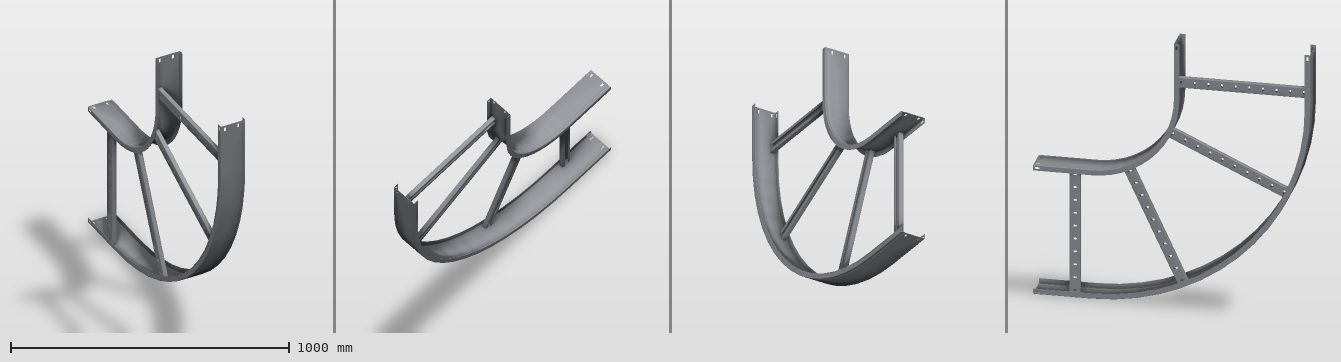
import cadquery as cq
import math

OVERALL = 1017.0
TRAY_DEPTH = 100.0
TRAY_WIDTH = 500.0
ARM_LENGTH = 216.0
SHEET = 1.5
OUTER_RADIUS = OVERALL - ARM_LENGTH
INNER_RADIUS = OUTER_RADIUS - TRAY_WIDTH

FLANGE_WIDTH = 20.0
RAIL_BEND = 2.0
GROOVE_DEPTH = 1.5
GROOVE_FLANK = 4.0
GROOVE_FLOOR = 4.0
GROOVE_FROM_BACK = 4.0

SLOT_LENGTH = 15.0
SLOT_WIDTH = 7.0
RAIL_SLOT_FROM_END = 15.0
FRONT_WEB_SLOT_Y = 17.0
BACK_WEB_SLOT_Y = TRAY_DEPTH - 28.0
FLANGE_SLOT_INSET = FLANGE_WIDTH / 2

RUNG_WIDTH = 40.0
RUNG_DEPTH = 17.0
RUNG_FRONT_Y = 8.0
RUNG_LIP = 12.0
RUNG_BEND = 2.0
RUNG_FROM_ARM_END = 152.0
RUNG_SLOT_COUNT = 10
RUNG_SLOT_PITCH = TRAY_WIDTH / RUNG_SLOT_COUNT
CURVE_RUNG_ANGLE = 25.0

CUT_DEPTH = 10.0
TRIM_ALLOWANCE = 10.0


def cross_plane(origin, normal):
    """Workplane across an arm: local x is +Y and local y points to the bend axis."""
    return cq.Workplane(cq.Plane(origin=origin, xDir=(0, 1, 0), normal=normal))


def follow_bend(draw_section, radius):
    """Carry a section along arm, quarter bend and arm at a given distance from the bend axis."""
    first_arm = draw_section(cross_plane((-ARM_LENGTH, 0, -radius), (1, 0, 0))).extrude(ARM_LENGTH)
    bend = draw_section(cross_plane((0, 0, -radius), (1, 0, 0))).revolve(90, (10, radius), (0, radius))
    second_arm = draw_section(cross_plane((radius, 0, 0), (0, 0, 1))).extrude(ARM_LENGTH)
    return first_arm.union(bend, clean=False).union(second_arm, clean=False)


def rail_slot_cutter(center, long_axis, through_axis):
    """Square-ended cutter through the sheet of a rail."""
    plane = cq.Plane(origin=center, xDir=long_axis, normal=through_axis)
    return cq.Workplane(plane).rect(SLOT_LENGTH, SLOT_WIDTH).extrude(CUT_DEPTH / 2, both=True)


def rail_section(workplane, flange_side):
    """Channel section with its web on local y = 0.

    flange_side is +1 for flanges that point to the bend axis and -1 for flanges that point away.
    """

    def at(y, inset):
        return (y, flange_side * inset)

    groove_end = TRAY_DEPTH - GROOVE_FROM_BACK
    floor_end = groove_end - GROOVE_FLANK
    floor_start = floor_end - GROOVE_FLOOR
    groove_start = floor_start - GROOVE_FLANK
    inner_bend = RAIL_BEND - SHEET
    outer_turn = -flange_side * RAIL_BEND
    inner_turn = flange_side * inner_bend
    return (
        workplane
        .moveTo(*at(0, FLANGE_WIDTH))
        .lineTo(*at(0, RAIL_BEND))
        .radiusArc(at(RAIL_BEND, 0), outer_turn)
        .lineTo(*at(groove_start, 0))
        .lineTo(*at(floor_start, GROOVE_DEPTH))
        .lineTo(*at(floor_end, GROOVE_DEPTH))
        .lineTo(*at(groove_end, 0))
        .lineTo(*at(TRAY_DEPTH - RAIL_BEND, 0))
        .radiusArc(at(TRAY_DEPTH, RAIL_BEND), outer_turn)
        .lineTo(*at(TRAY_DEPTH, FLANGE_WIDTH))
        .lineTo(*at(TRAY_DEPTH - SHEET, FLANGE_WIDTH))
        .lineTo(*at(TRAY_DEPTH - SHEET, RAIL_BEND))
        .radiusArc(at(TRAY_DEPTH - RAIL_BEND, SHEET), inner_turn)
        .lineTo(*at(groove_end, SHEET))
        .lineTo(*at(floor_end, GROOVE_DEPTH + SHEET))
        .lineTo(*at(floor_start, GROOVE_DEPTH + SHEET))
        .lineTo(*at(groove_start, SHEET))
        .lineTo(*at(RAIL_BEND, SHEET))
        .radiusArc(at(SHEET, RAIL_BEND), inner_turn)
        .lineTo(*at(SHEET, FLANGE_WIDTH))
        .close()
    )


def rail_end_slots(web_radius, flange_side):
    """Cutters for the two web slots and the front flange slot at each end of a rail."""
    flange_slot_radius = web_radius - flange_side * FLANGE_SLOT_INSET
    along = ARM_LENGTH - RAIL_SLOT_FROM_END
    cutters = []
    for y in (FRONT_WEB_SLOT_Y, BACK_WEB_SLOT_Y):
        cutters.append(rail_slot_cutter((-along, y, -web_radius), (1, 0, 0), (0, 0, 1)))
        cutters.append(rail_slot_cutter((web_radius, y, along), (0, 0, 1), (1, 0, 0)))
    cutters.append(rail_slot_cutter((-along, 0, -flange_slot_radius), (1, 0, 0), (0, 1, 0)))
    cutters.append(rail_slot_cutter((flange_slot_radius, 0, along), (0, 0, 1), (0, 1, 0)))
    return cutters


def make_rail(web_radius, flange_side, rung_blanks):
    """Side rail with its end slots and an opening in the web for each rung."""
    rail = follow_bend(lambda workplane: rail_section(workplane, flange_side), web_radius)
    for cutter in rail_end_slots(web_radius, flange_side) + rung_blanks:
        rail = rail.cut(cutter, clean=False)
    return rail


def rung_blank(start, direction):
    """Overlong lipped channel running from a point on the inner web along a direction in the XZ plane."""
    section_start = cq.Workplane(cq.Plane(origin=start, xDir=(0, 1, 0), normal=direction)).workplane(
        offset=-TRIM_ALLOWANCE
    )
    length = TRAY_WIDTH + 2 * TRIM_ALLOWANCE
    middle_y = RUNG_FRONT_Y + RUNG_DEPTH / 2
    back_y = RUNG_FRONT_Y + RUNG_DEPTH
    along = cq.selectors.ParallelDirSelector(cq.Vector(direction))

    def rounded_bar(depth, width, corner_radius):
        bar = section_start.center(middle_y, 0).rect(depth, width).extrude(length)
        return bar.edges(along).fillet(corner_radius)

    outside = rounded_bar(RUNG_DEPTH, RUNG_WIDTH, RUNG_BEND)
    hollow = rounded_bar(RUNG_DEPTH - 2 * SHEET, RUNG_WIDTH - 2 * SHEET, RUNG_BEND - SHEET)
    mouth = section_start.center(back_y, 0).rect(RUNG_DEPTH, RUNG_WIDTH - 2 * RUNG_LIP).extrude(length)
    return outside.cut(hollow).cut(mouth)


def make_rung(blank, start, direction, web_span):
    """Rung trimmed flush with the outside of both webs, with its row of round-ended cross slots."""
    front_plane = cq.Plane(origin=(start[0], RUNG_FRONT_Y, start[2]), xDir=direction, normal=(0, -1, 0))
    first_slot = RUNG_SLOT_PITCH / 2
    slot_places = [(first_slot + index * RUNG_SLOT_PITCH, 0) for index in range(RUNG_SLOT_COUNT)]
    slots = (
        cq.Workplane(front_plane)
        .pushPoints(slot_places)
        .slot2D(SLOT_LENGTH, SLOT_WIDTH, angle=90)
        .extrude(CUT_DEPTH / 2, both=True)
    )
    return blank.intersect(web_span).cut(slots)


rung_offset = ARM_LENGTH - RUNG_FROM_ARM_END
rung_lines = [
    ((-rung_offset, 0, -INNER_RADIUS), (0, 0, -1)),
    ((INNER_RADIUS, 0, rung_offset), (1, 0, 0)),
]
for angle in (CURVE_RUNG_ANGLE, 90 - CURVE_RUNG_ANGLE):
    outward = (math.cos(math.radians(angle)), 0, -math.sin(math.radians(angle)))
    rung_lines.append(((INNER_RADIUS * outward[0], 0, INNER_RADIUS * outward[2]), outward))

rung_blanks = [rung_blank(start, direction) for start, direction in rung_lines]

middle_radius = (INNER_RADIUS + OUTER_RADIUS) / 2
web_span = follow_bend(
    lambda workplane: workplane.center(TRAY_DEPTH / 2, 0).rect(TRAY_DEPTH, TRAY_WIDTH), middle_radius
)

rungs = [
    make_rung(blank, start, direction, web_span)
    for blank, (start, direction) in zip(rung_blanks, rung_lines)
]

inner_rail = make_rail(INNER_RADIUS, -1, rung_blanks)
outer_rail = make_rail(OUTER_RADIUS, 1, rung_blanks)

result = cq.Compound.makeCompound(
    [inner_rail.val(), outer_rail.val(), *[rung.val() for rung in rungs]]
)